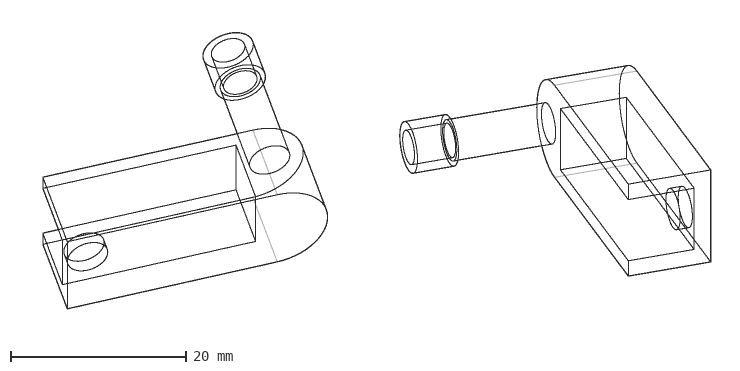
import cadquery as cq

arm_length = 31.0
arm_height = 12.0
arm_width = 10.0
end_radius = arm_height / 2
wall = 2.0
channel_length = 23.0

pin_diameter = 4.8
pin_setback = 4.0
shaft_length = 12.0
head_diameter = 6.0
head_length = 5.0
socket_diameter = 4.0
socket_depth = head_length

stud_diameter = 4.8
stud_height = 1.5
stud_setback = 3.0

pin_y = arm_length - pin_setback
head_tip_x = -shaft_length - head_length
channel_floor_x = arm_width - wall


def cylinder_along_x(start_x, center_y, diameter, length):
    """Cylinder extending toward +X from start_x, centered on Z = 0."""
    return (
        cq.Workplane("YZ", origin=(start_x, center_y, 0))
        .circle(diameter / 2)
        .extrude(length)
    )


def make_arm():
    straight_length = arm_length - end_radius
    body = (
        cq.Workplane("YZ")
        .moveTo(0, -end_radius)
        .lineTo(straight_length, -end_radius)
        .threePointArc((arm_length, 0), (straight_length, end_radius))
        .lineTo(0, end_radius)
        .close()
        .extrude(arm_width)
    )
    channel = cq.Workplane("XY").box(
        channel_floor_x, channel_length, arm_height - 2 * wall, centered=(False, False, True)
    )
    return body.cut(channel)


def make_pin():
    shaft = cylinder_along_x(-shaft_length, pin_y, pin_diameter, shaft_length)
    head = cylinder_along_x(head_tip_x, pin_y, head_diameter, head_length)
    socket = cylinder_along_x(head_tip_x, pin_y, socket_diameter, socket_depth)
    return shaft.union(head.cut(socket))


def make_stud():
    return cylinder_along_x(channel_floor_x - stud_height, stud_setback, stud_diameter, stud_height)


result = make_arm().union(make_pin()).union(make_stud())